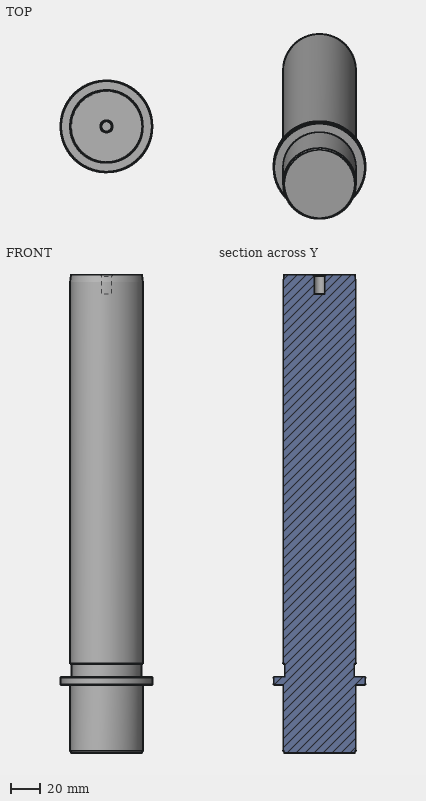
import cadquery as cq

total_length = 327.0
body_diameter = 50.0
flange_diameter = 63.0
neck_diameter = 48.0
flange_bottom = 46.5
flange_thickness = 6.0
neck_top = 60.8
neck_chamfer = 0.5
flange_chamfer = 0.5
foot_chamfer_height = 1.5
foot_chamfer_depth = 1.0
lead_in_length = 5.0
lead_in_depth = 0.5

countersink_diameter = 8.5
pilot_diameter = 7.0
countersink_depth = 1.0
pilot_depth = 13.0

body_radius = body_diameter / 2
flange_radius = flange_diameter / 2
neck_radius = neck_diameter / 2
flange_top = flange_bottom + flange_thickness


def make_pin():
    """Revolve the stepped half-profile, from the foot up to the top face."""
    profile = [
        (0, 0),
        (body_radius - foot_chamfer_depth, 0),
        (body_radius, foot_chamfer_height),
        (body_radius, flange_bottom),
        (flange_radius - flange_chamfer, flange_bottom),
        (flange_radius, flange_bottom + flange_chamfer),
        (flange_radius, flange_top - flange_chamfer),
        (flange_radius - flange_chamfer, flange_top),
        (neck_radius, flange_top),
        (neck_radius, neck_top),
        (body_radius - neck_chamfer, neck_top),
        (body_radius, neck_top + neck_chamfer),
        (body_radius, total_length - lead_in_length),
        (body_radius - lead_in_depth, total_length),
        (0, total_length),
    ]
    return cq.Workplane("XZ").polyline(profile).close().revolve(360, (0, 0), (0, 1))


def make_centre_hole():
    """Blind pilot bore opening into a conical countersink."""
    pilot_radius = pilot_diameter / 2
    profile = [
        (0, total_length - pilot_depth),
        (pilot_radius, total_length - pilot_depth),
        (pilot_radius, total_length - countersink_depth),
        (countersink_diameter / 2, total_length),
        (0, total_length),
    ]
    return cq.Workplane("XZ").polyline(profile).close().revolve(360, (0, 0), (0, 1))


result = make_pin().cut(make_centre_hole())